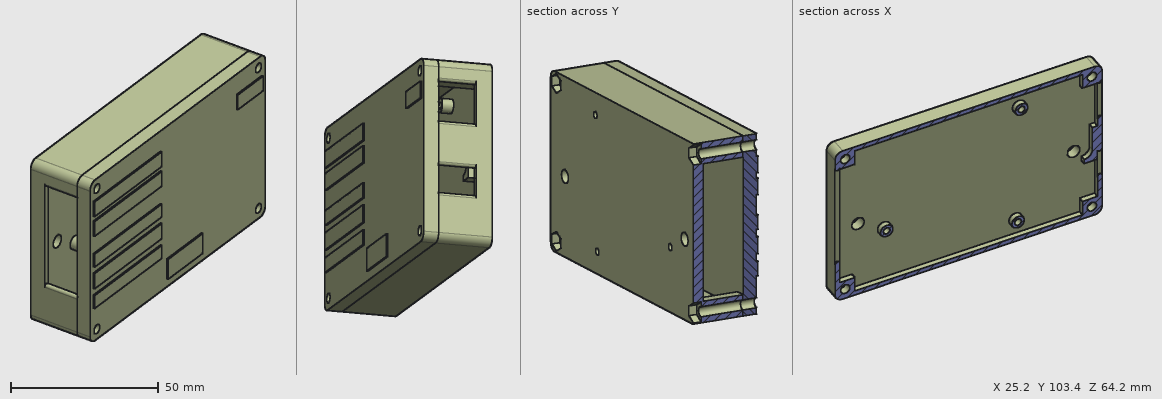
import cadquery as cq

LENGTH = 103.4
HEIGHT = 64.2
TOTAL_DEPTH = 25.2
BASE_DEPTH = 19.3
LABEL_THICKNESS = 0.5
CORNER_RADIUS = 3.0
LID_DEPTH = TOTAL_DEPTH - BASE_DEPTH - LABEL_THICKNESS

WALL = 2.0
FLOOR = 4.0

SCREW_INSET = 4.0
SCREW_DIAMETER = 3.4
NUT_DIAMETER = 6.9
NUT_DEPTH = 3.0
POST_REACH = 3.7
SCREW_POINTS = [
    (side_y * (LENGTH / 2 - SCREW_INSET), side_z * (HEIGHT / 2 - SCREW_INSET))
    for side_y in (-1, 1)
    for side_z in (-1, 1)
]

STANDOFF_TOP = 8.1
STANDOFF_DIAMETER = 5.0
STANDOFF_HOLE = 2.4
STANDOFF_POINTS = [(20.5, 24.1), (19.1, -24.1), (-31.6, -8.9)]

MOUNT_DIAMETER = 4.8
MOUNT_Y = 41.7
MOUNT_Z = -3.4

RIB_THICKNESS = 2.0
RIB_TOP_Z = 6.1
RIB_FILLET = 3.1
RIB_FOOT_THICKNESS = 2.0

WINDOW_START = 5.9
WINDOW_BOTTOM_Z = -15.9
WINDOW_TOP_Z = 25.1
DIVIDER_BOTTOM_Z = -4.2
DIVIDER_TOP_Z = 9.2
FRONT_WINDOWS = [(WINDOW_BOTTOM_Z, WINDOW_TOP_Z)]
BACK_WINDOWS = [(WINDOW_BOTTOM_Z, DIVIDER_BOTTOM_Z), (DIVIDER_TOP_Z, WINDOW_TOP_Z)]

LABEL_PADS = [
    (34.7, 49.6, 18.1, 24.0),
    (-49.7, -10.1, 18.1, 24.0),
    (-49.7, -10.1, 10.2, 16.1),
    (-49.7, -10.1, -2.1, 3.1),
    (-49.7, -10.1, -10.8, -4.7),
    (-49.7, -10.1, -18.6, -13.4),
    (-6.4, 14.2, -28.8, -20.9),
]


def block(x_range, y_range, z_range):
    """Box given by its start and end along each axis."""
    size = [end - start for start, end in (x_range, y_range, z_range)]
    corner = (x_range[0], y_range[0], z_range[0])
    return cq.Workplane("XY").box(*size, centered=False).translate(corner)


def rods(points, diameter, start, end):
    """Cylinders along X at the given (Y, Z) points."""
    plane = cq.Workplane("YZ", origin=(start, 0, 0))
    return plane.pushPoints(points).circle(diameter / 2).extrude(end - start)


def rounded_slab(start, end):
    """Slab with the outer outline of the enclosure."""
    plane = cq.Workplane("YZ", origin=(start, 0, 0))
    return plane.rect(LENGTH, HEIGHT).extrude(end - start).edges("|X").fillet(CORNER_RADIUS)


def cavity():
    """Inside of the base, leaving a square post around each corner screw."""
    inner_y = LENGTH / 2 - WALL
    inner_z = HEIGHT / 2 - WALL
    post_y = LENGTH / 2 - SCREW_INSET - POST_REACH
    post_z = HEIGHT / 2 - SCREW_INSET - POST_REACH
    depth = (FLOOR, BASE_DEPTH)
    long_part = block(depth, (-inner_y, inner_y), (-post_z, post_z))
    tall_part = block(depth, (-post_y, post_y), (-inner_z, inner_z))
    return long_part.union(tall_part)


def cut_windows(base, side, windows):
    """Open windows in the end wall on one Y side (-1 or 1), with fully rounded sills and tops."""
    wall_y = side * (LENGTH - WALL) / 2
    y_range = (wall_y - WALL / 2, wall_y + WALL / 2)
    for window in windows:
        base = base.cut(block((WINDOW_START, BASE_DEPTH), y_range, window))
        edge_points = [(wall_y, edge_z) for edge_z in window]
        base = base.union(rods(edge_points, WALL, WINDOW_START, BASE_DEPTH))
    return base


def rib():
    """L-shaped rib on the floor against the +Y wall, its foot pointing inwards."""
    wall_y = LENGTH / 2 - WALL
    face_y = wall_y - RIB_THICKNESS
    foot_y = face_y - RIB_FILLET
    foot_top_z = MOUNT_Z - RIB_FILLET
    foot_bottom_z = foot_top_z - RIB_FOOT_THICKNESS
    arc_middle = RIB_FILLET * 0.5**0.5
    return (
        cq.Workplane("YZ", origin=(FLOOR, 0, 0))
        .moveTo(wall_y, RIB_TOP_Z)
        .lineTo(face_y, RIB_TOP_Z)
        .lineTo(face_y, MOUNT_Z)
        .threePointArc((foot_y + arc_middle, MOUNT_Z - arc_middle), (foot_y, foot_top_z))
        .lineTo(foot_y, foot_bottom_z)
        .lineTo(wall_y, foot_bottom_z)
        .close()
        .extrude(STANDOFF_TOP - FLOOR)
    )


def nut_pocket(center_y, center_z):
    """Hexagonal pocket with corners pointing up and down."""
    plane = cq.Plane(origin=(0, center_y, center_z), xDir=(0, 0, 1), normal=(1, 0, 0))
    return cq.Workplane(plane).polygon(6, NUT_DIAMETER).extrude(NUT_DEPTH)


def make_base():
    base = rounded_slab(0, BASE_DEPTH).cut(cavity())
    base = cut_windows(base, -1, FRONT_WINDOWS)
    base = cut_windows(base, 1, BACK_WINDOWS)
    base = base.union(rib())
    base = base.union(rods(STANDOFF_POINTS, STANDOFF_DIAMETER, FLOOR, STANDOFF_TOP))
    base = base.cut(rods(STANDOFF_POINTS, STANDOFF_HOLE, 0, STANDOFF_TOP))
    base = base.cut(rods([(-MOUNT_Y, MOUNT_Z), (MOUNT_Y, MOUNT_Z)], MOUNT_DIAMETER, 0, FLOOR))
    base = base.cut(rods(SCREW_POINTS, SCREW_DIAMETER, 0, BASE_DEPTH))
    for center_y, center_z in SCREW_POINTS:
        base = base.cut(nut_pocket(center_y, center_z))
    return base


def make_lid():
    outer_face = BASE_DEPTH + LID_DEPTH
    lid = rounded_slab(BASE_DEPTH, outer_face)
    lid = lid.cut(rods(SCREW_POINTS, SCREW_DIAMETER, BASE_DEPTH, outer_face))
    for start_y, end_y, bottom_z, top_z in LABEL_PADS:
        lid = lid.union(block((outer_face, TOTAL_DEPTH), (start_y, end_y), (bottom_z, top_z)))
    return lid


base = make_base()
lid = make_lid()
result = cq.Compound.makeCompound([base.val(), lid.val()])